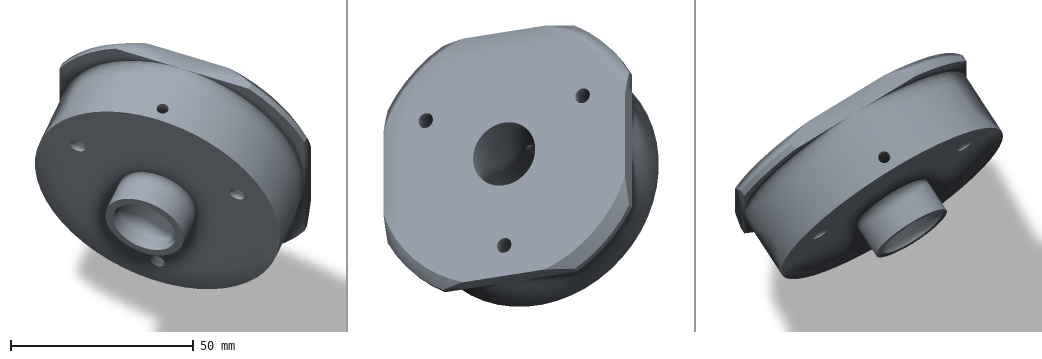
import cadquery as cq
import math

body_diameter = 72.0
flange_diameter = 82.0
flange_thickness = 4.8
flange_chamfer = 3.0
body_length = 18.9
boss_diameter = 23.0
boss_length = 10.0
bore_diameter = 18.5

mount_hole_diameter = 4.3
mount_hole_count = 3
mount_circle_radius = 27.0
first_mount_angle = 30.0

radial_hole_diameter = 3.3
radial_hole_setback = 4.0
bore_notch_diameter = 3.0
bore_notch_height = 9.0

body_face = boss_length
flange_face = body_face + body_length
back_face = flange_face + flange_thickness


def cylinder(diameter, start, end, x=0.0, z=0.0):
    """Cylinder parallel to Y, spanning start to end."""
    plane = cq.Plane(origin=(x, start, z), xDir=(1, 0, 0), normal=(0, 1, 0))
    return cq.Workplane(plane).circle(diameter / 2).extrude(end - start)


def make_flange():
    """Disc with a chamfered back rim, cut to a square with round corners."""
    disc = cylinder(flange_diameter, flange_face, back_face).faces(">Y").chamfer(flange_chamfer)
    square = cq.Workplane("XY").box(body_diameter, flange_thickness, body_diameter)
    return disc.intersect(square.translate((0, flange_face + flange_thickness / 2, 0)))


def make_mount_holes():
    """Evenly spaced through holes around the axis."""
    holes = cq.Workplane("XY")
    for index in range(mount_hole_count):
        angle = math.radians(first_mount_angle + index * 360 / mount_hole_count)
        x = mount_circle_radius * math.cos(angle)
        z = mount_circle_radius * math.sin(angle)
        holes = holes.add(cylinder(mount_hole_diameter, body_face, back_face, x, z))
    return holes.combine()


def make_radial_hole():
    """Hole from the top of the body down into the bore."""
    return (
        cq.Workplane("XY", origin=(0, body_face + radial_hole_setback, 0))
        .circle(radial_hole_diameter / 2)
        .extrude(body_diameter / 2)
    )


def make_bore_notch():
    """Round groove along the top of the bore, from the boss end to the radial hole."""
    end = body_face + radial_hole_setback
    return cylinder(bore_notch_diameter, 0, end, z=bore_notch_height)


result = (
    cylinder(body_diameter, body_face, flange_face)
    .union(make_flange())
    .union(cylinder(boss_diameter, 0, body_face))
    .cut(cylinder(bore_diameter, 0, back_face))
    .cut(make_mount_holes())
    .cut(make_radial_hole())
    .cut(make_bore_notch())
)